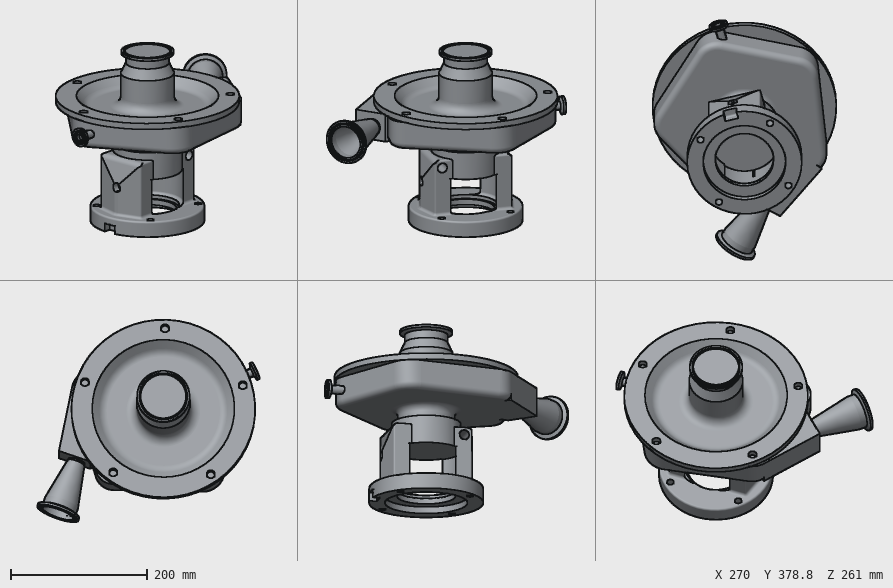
import cadquery as cq
import math

foot_height = 24.0
ring_bottom = 78.5
leg_top = 108.5
ring_top = 119.7
casing_bottom = 140.0
flange_bottom = 182.5
flange_top = 191.7
hub_shoulder = 227.0
hub_neck_bottom = 243.0
total_height = 261.0

foot_radius = 84.0
foot_edge_fillet = 3.0
foot_bore_radius = 43.0
foot_counterbore_radius = 46.5
foot_counterbore_depth = 5.5
foot_recess_radius = 60.5
foot_recess_height = 10.0
foot_hole_radius = 5.0
foot_hole_circle = 74.5
foot_hole_count = 4
notch_width = 19.7
notch_height = 12.5
notch_depth = 11.5
notch_fillet = 3.0

leg_half_width = 39.5
leg_corner_y = 59.0
leg_nose_y = 69.5
nose_half_width = 3.0
leg_inner_radius = 52.5
leg_shoulder_y = 58.7
nose_cut_bottom = 70.5
leg_edge_fillet = 2.5
leg_top_fillet = 9.5
leg_top_side_fillet = 3.0
leg_foot_fillet = 4.5
nose_hole_radius = 7.0
nose_hole_floor_y = 57.0
nose_hole_z = 66.3
slit_width = 2.5
cross_hole_radius = 7.2
cross_hole_y = 47.7
cross_hole_z = 96.5

ring_radius = 50.8
neck_radius = 41.5
neck_fillet = 10.2

casing_side_offset = 114.5
casing_outlet_side_offset = 122.0
casing_corner_radius = 34.0
casing_outlet_corner_radius = 32.0
casing_far_corner_radius = 28.0
casing_first_corner = 45.2
casing_sides = 5
casing_edge_fillet = 9.5

flange_diameter = 270.0
flange_radius = flange_diameter / 2
flange_hole_radius = 6.0
flange_hole_circle = 122.0
dish_rim_radius = 104.5
dish_fillet = 14.8
dish_slope = 45
dish_depth = 15.0
dish_underside = flange_bottom - dish_depth
hub_radius = 39.5
hub_neck_radius = 32.0
hub_ferrule_radius = 38.5

outlet_angle = 135
outlet_axis_offset = 96.2
outlet_height = 160.3
block_reach = 109.5
block_half_width = 28.0
block_inner_half_width = 21.0
nozzle_length = 84.5
nozzle_cuff = 13.0
nozzle_bore_cuff = 13.5
nozzle_small_radius = 13.3
nozzle_stub_radius = 12.0
nozzle_stub_length = 3.0
nozzle_large_radius = 25.8
nozzle_wall = 2.0
nozzle_ferrule_radius = 32.2

drain_end_y = -150.8
drain_root_y = -106.0
drain_height = 163.0
drain_radius = 6.5
drain_bore_radius = 5.3
drain_ferrule_radius = 13.5

ferrule_rim = 3.8
ferrule_taper = 2.5
groove_inset = 3.5
groove_width = 2.0
groove_depth = 1.0


def polar(radius, degrees):
    angle = math.radians(degrees)
    return (radius * math.cos(angle), radius * math.sin(angle))


def disc(radius, bottom, top):
    return cq.Workplane("XY").workplane(offset=bottom).circle(radius).extrude(top - bottom)


def revolved(points, plane):
    """Turn a (radius, length) outline about the normal of the plane."""
    axis_plane = cq.Plane(plane.origin, xDir=plane.xDir, normal=-plane.yDir)
    return cq.Workplane(axis_plane).polyline(points).close().revolve(360, (0, 0), (0, 1))


def ferrule(rim_radius, pipe_radius, plane):
    """Clamp ferrule whose grooved face lies on the plane, facing along its normal."""
    outline = [
        (0, 0),
        (rim_radius, 0),
        (rim_radius, -ferrule_rim),
        (pipe_radius, -ferrule_rim - ferrule_taper),
        (0, -ferrule_rim - ferrule_taper),
    ]
    groove_outer = rim_radius - groove_inset
    groove = (
        cq.Workplane(plane).circle(groove_outer).circle(groove_outer - groove_width).extrude(-groove_depth)
    )
    return revolved(outline, plane).cut(groove)


def make_foot():
    foot = disc(foot_radius, 0, foot_height).faces(">Z").edges().fillet(foot_edge_fillet)
    return (
        foot.faces(">Z").workplane(origin=(0, 0, foot_height))
        .polarArray(foot_hole_circle, 180 / foot_hole_count, 360, foot_hole_count).hole(2 * foot_hole_radius)
    )


def make_leg():
    """Leg on the +Y side: a pointed plan shape, trimmed to a sloped and rounded side shape."""
    plan = (
        cq.Workplane("XY").workplane(offset=foot_height)
        .polyline([
            (-leg_half_width, 0),
            (-leg_half_width, leg_corner_y),
            (-nose_half_width, leg_nose_y),
            (nose_half_width, leg_nose_y),
            (leg_half_width, leg_corner_y),
            (leg_half_width, 0),
        ])
        .close().extrude(leg_top - foot_height)
        .edges("|Z and (<X or >X)").fillet(leg_edge_fillet)
    )
    side = (
        cq.Workplane("YZ")
        .polyline([
            (0, foot_height),
            (leg_nose_y, foot_height),
            (leg_nose_y, nose_cut_bottom),
            (leg_shoulder_y, leg_top),
            (0, leg_top),
        ])
        .close().extrude(leg_half_width, both=True)
        .faces(">Z").edges(">Y").fillet(leg_top_fillet)
    )
    end = (
        cq.Workplane("XY").workplane(offset=foot_height)
        .rect(2 * leg_half_width, 2 * leg_nose_y).extrude(leg_top - foot_height)
        .edges("|Y and >Z").fillet(leg_top_side_fillet)
    )
    return plan.intersect(side).intersect(end).cut(disc(leg_inner_radius, foot_height, ring_bottom))


def make_support():
    leg = make_leg()
    support = make_foot().union(leg).union(leg.rotate((0, 0, 0), (0, 0, 1), 180))
    leg_roots = cq.selectors.BoxSelector(
        (-leg_half_width - 0.5, -leg_nose_y - 0.5, foot_height - 0.5),
        (leg_half_width + 0.5, leg_nose_y + 0.5, foot_height + 0.5),
    )
    support = support.edges(leg_roots).fillet(leg_foot_fillet)
    support = support.cut(disc(foot_bore_radius, 0, foot_height))
    support = support.cut(disc(foot_recess_radius, 0, foot_recess_height))
    return support.cut(disc(foot_counterbore_radius, foot_height - foot_counterbore_depth, foot_height))


def cut_support_openings(body):
    notch = (
        cq.Workplane("XY").box(notch_width, 2 * notch_depth, notch_height, centered=(True, True, False))
        .edges("|X and >Z").fillet(notch_fillet)
    )
    body = body.cut(notch.translate((0, -foot_radius, 0)))
    for side in (1, -1):
        nose_hole = (
            cq.Workplane("XZ", origin=(0, side * nose_hole_floor_y, nose_hole_z))
            .circle(nose_hole_radius).extrude(-side * leg_nose_y)
        )
        body = body.cut(nose_hole)
    slit = (
        cq.Workplane("XZ", origin=(0, 0, nose_hole_z))
        .rect(slit_width, 2 * nose_hole_radius).extrude(leg_nose_y, both=True)
    )
    cross_hole = (
        cq.Workplane("YZ", origin=(0, cross_hole_y, cross_hole_z))
        .circle(cross_hole_radius).extrude(leg_half_width + 3.8, both=True)
    )
    return body.cut(slit).cut(cross_hole)


def side_crossing(angle_a, offset_a, angle_b, offset_b):
    """Point where two lines, each given by its normal angle and distance from the axis, cross."""
    ax, ay = polar(1, angle_a)
    bx, by = polar(1, angle_b)
    determinant = ax * by - ay * bx
    return (
        (offset_a * by - offset_b * ay) / determinant,
        (ax * offset_b - bx * offset_a) / determinant,
    )


side_step = 360 / casing_sides
side_angles = [casing_first_corner + side_step * (index + 0.5) for index in range(casing_sides)]
side_offsets = [casing_outlet_side_offset] + [casing_side_offset] * (casing_sides - 1)


def make_casing():
    corners = [
        side_crossing(side_angles[i - 1], side_offsets[i - 1], side_angles[i], side_offsets[i])
        for i in range(casing_sides)
    ]
    casing = (
        cq.Workplane("XY").workplane(offset=casing_bottom)
        .polyline(corners).close().extrude(flange_bottom - casing_bottom)
    )
    corner_radii = [casing_outlet_corner_radius, casing_far_corner_radius]
    corner_radii += [casing_corner_radius] * (casing_sides - len(corner_radii))
    for (x, y), radius in zip(corners, corner_radii):
        middle = (x, y, (casing_bottom + flange_bottom) / 2)
        casing = casing.edges(cq.selectors.NearestToPointSelector(middle)).fillet(radius)
    return casing.faces("<Z").edges().fillet(casing_edge_fillet)


def make_block():
    """Outlet block whose outer side is tangent to the rounded casing corner beside it."""
    arc_x, arc_y = side_crossing(
        side_angles[-1], side_offsets[-1] - casing_outlet_corner_radius,
        side_angles[0], side_offsets[0] - casing_outlet_corner_radius,
    )
    end_x, end_y = outlet_point(block_reach, outlet_axis_offset + block_half_width)
    inner_end = outlet_point(block_reach, outlet_axis_offset - block_inner_half_width)
    reach_angle = math.degrees(math.atan2(end_y - arc_y, end_x - arc_x))
    distance = math.hypot(end_x - arc_x, end_y - arc_y)
    tangent_angle = reach_angle - math.degrees(math.acos(casing_outlet_corner_radius / distance))
    tangent_dx, tangent_dy = polar(casing_outlet_corner_radius, tangent_angle)
    return (
        cq.Workplane("XY").workplane(offset=casing_bottom)
        .polyline([
            (end_x, end_y),
            inner_end,
            (0, 0),
            (arc_x, arc_y),
            (arc_x + tangent_dx, arc_y + tangent_dy),
        ])
        .close().extrude(flange_bottom - casing_bottom)
    )


def outlet_point(along, across):
    """Plan position at a distance along the outlet direction and across it."""
    along_x, along_y = polar(along, outlet_angle)
    across_x, across_y = polar(across, outlet_angle - 90)
    return (along_x + across_x, along_y + across_y)


def make_flange_and_hub():
    rim_fall = dish_fillet * math.sin(math.radians(dish_slope))
    floor_z = flange_top - dish_depth
    cone_depth = dish_depth - (dish_fillet - rim_fall)
    cone_radius = dish_rim_radius - cone_depth
    floor_radius = cone_radius - rim_fall
    half_step = math.radians(dish_slope / 2)
    dish_mid = (
        floor_radius + dish_fillet * math.sin(half_step),
        floor_z + dish_fillet * (1 - math.cos(half_step)),
    )
    root_rise = dish_fillet * (1 - math.sin(math.radians(45)))
    return (
        cq.Workplane("XZ")
        .moveTo(0, dish_underside)
        .lineTo(dish_rim_radius, dish_underside)
        .lineTo(dish_rim_radius, flange_bottom)
        .lineTo(flange_radius, flange_bottom)
        .lineTo(flange_radius, flange_top)
        .lineTo(dish_rim_radius, flange_top)
        .lineTo(cone_radius, flange_top - cone_depth)
        .threePointArc(dish_mid, (floor_radius, floor_z))
        .lineTo(hub_radius + dish_fillet, floor_z)
        .threePointArc((hub_radius + root_rise, floor_z + root_rise), (hub_radius, floor_z + dish_fillet))
        .lineTo(hub_radius, hub_shoulder)
        .lineTo(hub_neck_radius, hub_neck_bottom)
        .lineTo(hub_neck_radius, total_height - ferrule_rim - ferrule_taper)
        .lineTo(0, total_height - ferrule_rim - ferrule_taper)
        .close().revolve(360, (0, 0), (0, 1))
    )


def cut_flange_holes(body):
    holes = (
        cq.Workplane("XY").workplane(offset=flange_bottom)
        .polarArray(flange_hole_circle, casing_first_corner, 360, casing_sides)
        .circle(flange_hole_radius).extrude(flange_top - flange_bottom)
    )
    return body.cut(holes)


def make_neck():
    fillet_start = casing_bottom - neck_fillet
    bulge = neck_fillet * (1 - math.sin(math.radians(45)))
    return (
        cq.Workplane("XZ")
        .moveTo(0, ring_bottom)
        .lineTo(ring_radius, ring_bottom)
        .lineTo(ring_radius, ring_top)
        .lineTo(neck_radius, ring_top)
        .lineTo(neck_radius, fillet_start)
        .threePointArc(
            (neck_radius + bulge, casing_bottom - bulge),
            (neck_radius + neck_fillet, casing_bottom),
        )
        .lineTo(0, casing_bottom)
        .close().revolve(360, (0, 0), (0, 1))
    )


def add_nozzle(body):
    face_x, face_y = outlet_point(block_reach + nozzle_length, outlet_axis_offset)
    direction_x, direction_y = polar(1, outlet_angle)
    plane = cq.Plane((face_x, face_y, outlet_height), xDir=(0, 0, 1), normal=(direction_x, direction_y, 0))
    cone_end = -nozzle_length + nozzle_stub_length
    outer = [
        (0, -ferrule_rim),
        (nozzle_large_radius, -ferrule_rim),
        (nozzle_large_radius, -nozzle_cuff - ferrule_rim),
        (nozzle_small_radius, cone_end),
        (nozzle_stub_radius, cone_end),
        (nozzle_stub_radius, -nozzle_length),
        (0, -nozzle_length),
    ]
    bore = [
        (0, 0),
        (nozzle_large_radius - nozzle_wall, 0),
        (nozzle_large_radius - nozzle_wall, -nozzle_bore_cuff),
        (nozzle_stub_radius - nozzle_wall, cone_end),
        (nozzle_stub_radius - nozzle_wall, -nozzle_length),
        (0, -nozzle_length),
    ]
    body = body.union(revolved(outer, plane))
    body = body.union(ferrule(nozzle_ferrule_radius, nozzle_large_radius, plane))
    return body.cut(revolved(bore, plane))


def add_drain(body):
    plane = cq.Plane((0, drain_end_y, drain_height), xDir=(1, 0, 0), normal=(0, -1, 0))
    length = drain_root_y - drain_end_y
    body = body.union(cq.Workplane(plane).circle(drain_radius).extrude(-length))
    body = body.union(ferrule(drain_ferrule_radius, drain_radius, plane))
    return body.cut(cq.Workplane(plane).circle(drain_bore_radius).extrude(-length))


hub_face = cq.Plane((0, 0, total_height), xDir=(1, 0, 0), normal=(0, 0, 1))

pump = make_support().union(make_neck())
pump = cut_support_openings(pump)
casing = make_casing().union(make_block()).cut(disc(dish_rim_radius, dish_underside, flange_bottom))
pump = pump.union(casing).union(make_flange_and_hub())
pump = pump.union(ferrule(hub_ferrule_radius, hub_neck_radius, hub_face))
pump = cut_flange_holes(pump)
pump = add_nozzle(pump)
result = add_drain(pump)